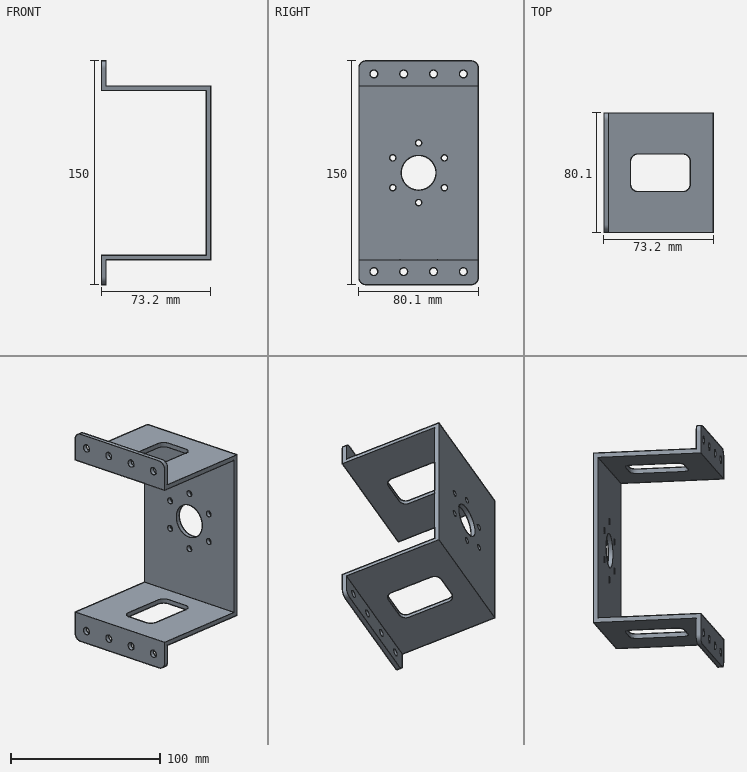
import cadquery as cq

depth = 73.2
width = 80.1
height = 150.0
thickness = 3.2

flange_height = 20.0
flange_corner_radius = 5.0
flange_hole_diameter = 5.1
flange_hole_pitch = 20.0
flange_hole_count = 4
flange_hole_edge_distance = 8.8

window_length = 39.9
window_width = 25.0
window_corner_radius = 5.0
window_center_x = 37.8

center_hole_diameter = 23.1
ring_diameter = 39.9
ring_hole_diameter = 4.0
ring_hole_count = 6

inner_height = height - 2 * flange_height
shelf_top = inner_height / 2 + thickness
flange_hole_z = height / 2 - flange_hole_edge_distance


def bracket_body():
    """Hat-shaped sheet profile in XZ, centred on Y and Z, flange faces at X = 0."""
    upper = [
        (0, height / 2),
        (thickness, height / 2),
        (thickness, shelf_top),
        (depth, shelf_top),
    ]
    inner_upper = [(depth - thickness, inner_height / 2), (0, inner_height / 2)]
    lower = [(x, -z) for x, z in reversed(upper)]
    inner_lower = [(x, -z) for x, z in reversed(inner_upper)]
    outline = upper + lower + inner_lower + inner_upper
    return cq.Workplane("XZ").polyline(outline).close().extrude(width / 2, both=True)


def round_flange_corners(body):
    corners = cq.selectors.BoxSelector(
        (-thickness, -width, shelf_top), (2 * thickness, width, height)
    ) + cq.selectors.BoxSelector(
        (-thickness, -width, -height), (2 * thickness, width, -shelf_top)
    )
    along_x = cq.selectors.ParallelDirSelector(cq.Vector(1, 0, 0))
    return body.edges(corners & along_x).fillet(flange_corner_radius)


def flange_holes():
    first_y = -flange_hole_pitch * (flange_hole_count - 1) / 2
    points = [
        (first_y + i * flange_hole_pitch, side * flange_hole_z)
        for i in range(flange_hole_count)
        for side in (-1, 1)
    ]
    return cq.Workplane("YZ").pushPoints(points).circle(flange_hole_diameter / 2).extrude(thickness)


def shelf_windows():
    return (
        cq.Workplane("XY")
        .center(window_center_x, 0)
        .rect(window_length, window_width)
        .extrude(height / 2, both=True)
        .edges("|Z")
        .fillet(window_corner_radius)
    )


def back_plate_holes():
    plate = cq.Workplane("YZ", origin=(depth - thickness, 0, 0))
    center_hole = plate.circle(center_hole_diameter / 2).extrude(thickness)
    ring = (
        plate.polarArray(ring_diameter / 2, 90, 360, ring_hole_count)
        .circle(ring_hole_diameter / 2)
        .extrude(thickness)
    )
    return center_hole.union(ring)


result = (
    round_flange_corners(bracket_body())
    .cut(flange_holes())
    .cut(shelf_windows())
    .cut(back_plate_holes())
)